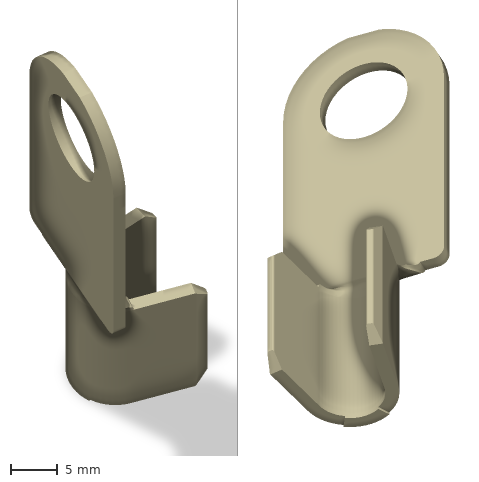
import cadquery as cq
import math

sheet = 1.5
overall_height = 53.6
overall_depth = 13.45

tongue_width = 18.8
tongue_bottom = 19.45
ring_center_z = 44.35
hole_center_z = 44.2
hole_diameter = 10.25
tongue_corner_radius = 1.3

barrel_radius = 5.35
barrel_bottom = 0.25
barrel_top = 16.8
wing_lean = 10.3
barrel_bend = 90.0 - wing_lean
wing_corner_chamfer = 1.65
tip_bevel_length = 1.55
tip_thickness = 0.8
tip_edge_radius = 0.2
tab_half_angle = 30.0

neck_top_half_width = 6.6
neck_base_bend = 83.5
neck_stations = [
    (17.7, 5.3, 65.0, 0.1),
    (18.1, 5.65, 40.0, 0.2),
    (18.55, 6.0, 19.0, 0.2),
    (18.9, 6.25, 4.0, 0.1),
]


def bend_point(radius, angle, center_y):
    """Point on a bend centred on X = 0; the angle is in degrees from the -Y direction."""
    turn = math.radians(angle)
    return radius * math.sin(turn), center_y - radius * math.cos(turn)


def make_tongue():
    half_width = tongue_width / 2
    rise = overall_height - ring_center_z
    flat_half = math.sqrt(half_width**2 - rise**2)
    arc_mid_angle = math.atan2(rise, flat_half) / 2
    arc_mid_x = half_width * math.cos(arc_mid_angle)
    arc_mid_z = ring_center_z + half_width * math.sin(arc_mid_angle)
    outline = (
        cq.Workplane("XZ")
        .moveTo(-half_width, tongue_bottom)
        .lineTo(half_width, tongue_bottom)
        .lineTo(half_width, ring_center_z)
        .threePointArc((arc_mid_x, arc_mid_z), (flat_half, overall_height))
        .lineTo(-flat_half, overall_height)
        .threePointArc((-arc_mid_x, arc_mid_z), (-half_width, ring_center_z))
        .close()
    )
    tongue = outline.extrude(-sheet)
    tongue = tongue.edges("|Y and <Z").fillet(tongue_corner_radius)
    hole = cq.Workplane("XZ").center(0, hole_center_z).circle(hole_diameter / 2).extrude(-sheet)
    return tongue.cut(hole)


def bent_strip(plane_z, bend, front_y, outer_radius):
    """Cross-section of the sheet bent through `bend` degrees on each side of the centre."""
    inner_radius = outer_radius - sheet
    outer_x, outer_y = bend_point(outer_radius, bend, front_y + outer_radius)
    inner_x, inner_y = bend_point(inner_radius, bend, front_y + outer_radius)
    return (
        cq.Workplane("XY", origin=(0, 0, plane_z))
        .moveTo(-outer_x, outer_y)
        .threePointArc((0, front_y), (outer_x, outer_y))
        .lineTo(inner_x, inner_y)
        .threePointArc((0, front_y + sheet), (-inner_x, inner_y))
        .close()
    )


def make_barrel_floor():
    floor = bent_strip(barrel_bottom, barrel_bend, 0, barrel_radius)
    return floor.extrude(barrel_top - barrel_bottom)


def make_tab():
    return bent_strip(0, tab_half_angle, 0, barrel_radius).extrude(barrel_bottom)


def make_wing():
    """Right-hand wing, tangent to the end of the barrel bend."""
    lean = math.radians(wing_lean)
    outer_x, outer_y = bend_point(barrel_radius, barrel_bend, barrel_radius)
    inner_x, inner_y = bend_point(barrel_radius - sheet, barrel_bend, barrel_radius)
    rounding_loss = tip_edge_radius * (math.cos(lean) + math.sin(lean) - 1)
    length = (overall_depth + rounding_loss - inner_y) / math.cos(lean)

    def along(x, y, distance):
        return x + distance * math.sin(lean), y + distance * math.cos(lean)

    tip_inner = along(inner_x, inner_y, length)
    tip_outer = (
        tip_inner[0] + tip_thickness * math.cos(lean),
        tip_inner[1] - tip_thickness * math.sin(lean),
    )
    wing = (
        cq.Workplane("XY", origin=(0, 0, barrel_bottom))
        .moveTo(inner_x, inner_y)
        .lineTo(outer_x, outer_y)
        .lineTo(*along(outer_x, outer_y, length - tip_bevel_length))
        .lineTo(*tip_outer)
        .lineTo(*tip_inner)
        .close()
        .extrude(barrel_top - barrel_bottom)
    )
    tip_corners = cq.selectors.BoxSelector(
        (0, overall_depth - 0.55, 0), (tongue_width, overall_depth + 0.55, overall_height)
    )
    wing = wing.edges("|Z").edges(tip_corners).fillet(tip_edge_radius)

    tip_x, tip_y = tip_inner
    for z, inward in ((barrel_bottom, 1), (barrel_top, -1)):
        corner = (
            cq.Workplane("YZ", origin=(tip_x, tip_y, z))
            .lineTo(-wing_corner_chamfer, 0)
            .lineTo(0, inward * wing_corner_chamfer)
            .close()
            .extrude(sheet, both=True)
        )
        corner = corner.rotate((tip_x, tip_y, 0), (tip_x, tip_y, 1), -wing_lean)
        wing = wing.cut(corner)
    return wing


def make_neck():
    sections = [bent_strip(barrel_top, neck_base_bend, 0, barrel_radius)]
    for z, half_width, bend, front_y in neck_stations:
        outer_radius = half_width / math.sin(math.radians(bend))
        sections.append(bent_strip(z, bend, front_y, outer_radius))
    flat_end = cq.Workplane("XY", origin=(0, sheet / 2, tongue_bottom))
    sections.append(flat_end.rect(2 * neck_top_half_width, sheet))
    wires = [section.wires().val() for section in sections]
    return cq.Workplane(cq.Solid.makeLoft(wires, False))


wing = make_wing()
result = (
    make_tongue()
    .union(make_neck())
    .union(make_barrel_floor())
    .union(make_tab())
    .union(wing)
    .union(wing.mirror("YZ"))
    .solids()
)